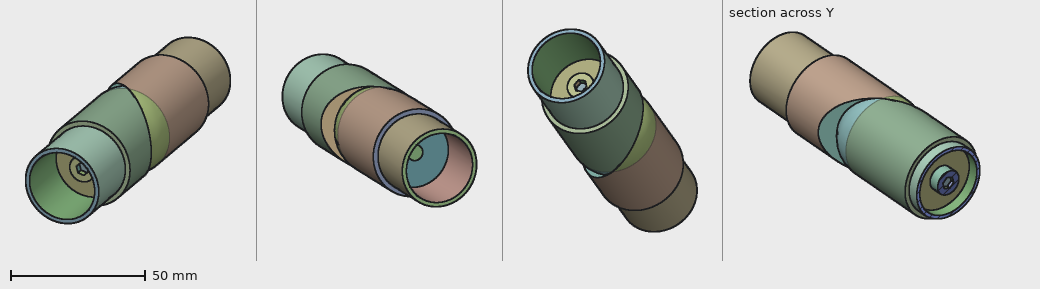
import cadquery as cq

total_length = 122.9
collar_diameter = 33.7
spigot_diameter = 29.9
bore_diameter = 26.5
collar_length = 36.6

head_diameter = 10.2
head_height = 6.0
shank_diameter = 6.0
socket_corner_diameter = 5.0
socket_depth = 3.0
socket_turn = 45.0

half_length = total_length / 2
collar_radius = collar_diameter / 2
spigot_length = half_length - collar_length
bore_depth = spigot_length
floor_distance = half_length - bore_depth


def rod(diameter, start_y, length):
    """Cylinder on the Y axis, running from start_y toward +Y."""
    return cq.Workplane("XZ", origin=(0, start_y, 0)).circle(diameter / 2).extrude(-length)


def joint_half_space():
    """Triangular block on the side of the 45 degree joint plane where x + y <= 0."""
    return (
        cq.Workplane("XY")
        .moveTo(-total_length, total_length)
        .lineTo(total_length, -total_length)
        .lineTo(-total_length, -total_length)
        .close()
        .extrude(collar_diameter, both=True)
    )


def make_connector_half():
    """Round-ended collar with a hollow spigot, cut off at the joint plane."""
    collar = rod(collar_diameter, -collar_length, collar_length)
    round_end = cq.Workplane("XY").sphere(collar_radius)
    joint_end = collar.union(round_end).intersect(joint_half_space())
    spigot = rod(spigot_diameter, -half_length, spigot_length)
    bore = rod(bore_diameter, -half_length, bore_depth)
    screw_hole = rod(shank_diameter, -floor_distance, 2 * floor_distance)
    return joint_end.union(spigot).cut(bore).cut(screw_hole)


def make_screw():
    """Socket head screw: head on the near bore floor, shank flush with the far floor."""
    head_top = -floor_distance - head_height
    head = rod(head_diameter, head_top, head_height)
    shank = rod(shank_diameter, -floor_distance, 2 * floor_distance)
    socket = (
        cq.Workplane("XZ", origin=(0, head_top, 0))
        .polygon(6, socket_corner_diameter)
        .extrude(-socket_depth)
        .rotate((0, 0, 0), (0, -1, 0), socket_turn)
    )
    return head.union(shank).cut(socket)


connector_halves = [
    make_connector_half().rotate((0, 0, 0), (0, 0, 1), angle).val() for angle in (0, 180)
]
screw = make_screw()

result = cq.Compound.makeCompound([*connector_halves, screw.val()])